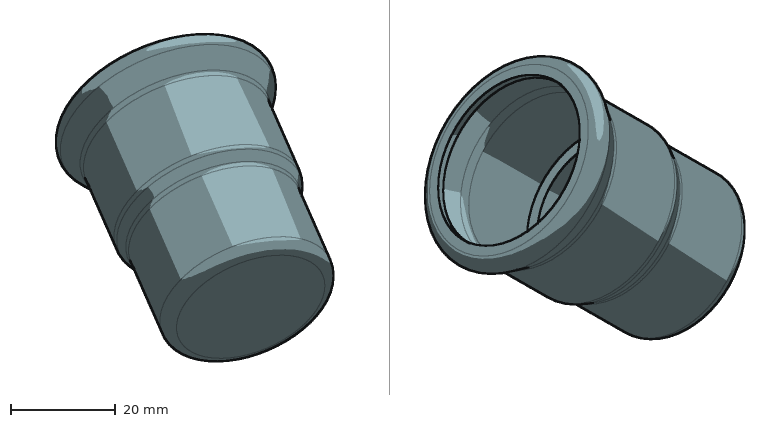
import cadquery as cq
import math

length = 51.0

bead_radius = 2.5
bead_outer_radius = 44.2 / 2
body_radius = 38.0 / 2
spigot_radius = 35.0 / 2
end_round = 2.5

wall = body_radius - spigot_radius

flare_angle = math.radians(30)
flare_blend = 2.25

shoulder_angle = math.radians(26)
shoulder_blend = 2.2
shoulder_start = 26.55

socket_radius = body_radius - wall
socket_depth = shoulder_start
bore_radius = spigot_radius - end_round
floor_thickness = wall

bead_centre_radius = bead_outer_radius - bead_radius
flare_rise = bead_centre_radius - body_radius
bead_mid_angle = (flare_angle - math.pi / 2) / 2


def arc_point(centre, radius, angle):
    """Point on an arc, with the angle measured from the outward radial direction towards +X."""
    return (centre[0] + radius * math.sin(angle), centre[1] + radius * math.cos(angle))


bead_centre = (bead_radius, bead_centre_radius)
flare_length = (
    flare_rise
    + bead_radius * math.cos(flare_angle)
    - flare_blend * (1 - math.cos(flare_angle))
) / math.sin(flare_angle)
body_start = (
    bead_radius
    + (bead_radius + flare_blend) * math.sin(flare_angle)
    + flare_length * math.cos(flare_angle)
)
flare_blend_centre = (body_start, body_radius + flare_blend)

shoulder_drop = body_radius - spigot_radius
shoulder_slope_length = (
    shoulder_drop - 2 * shoulder_blend * (1 - math.cos(shoulder_angle))
) / math.sin(shoulder_angle)
spigot_start = (
    shoulder_start
    + 2 * shoulder_blend * math.sin(shoulder_angle)
    + shoulder_slope_length * math.cos(shoulder_angle)
)
body_blend_centre = (shoulder_start, body_radius - shoulder_blend)
spigot_blend_centre = (spigot_start, spigot_radius + shoulder_blend)
end_round_centre = (length - end_round, spigot_radius - end_round)


def revolve_about_x(profile):
    return profile.close().revolve(360, (0, 0, 0), (1, 0, 0))


def outer_body():
    """Solid bounded by the bead, flare, body, shoulder and rounded spigot."""
    profile = (
        cq.Workplane("XY")
        .moveTo(0, 0)
        .lineTo(0, bead_centre_radius)
        .threePointArc(
            arc_point(bead_centre, bead_radius, bead_mid_angle),
            arc_point(bead_centre, bead_radius, flare_angle),
        )
        .lineTo(*arc_point(flare_blend_centre, -flare_blend, flare_angle))
        .threePointArc(
            arc_point(flare_blend_centre, -flare_blend, flare_angle / 2),
            (body_start, body_radius),
        )
        .lineTo(shoulder_start, body_radius)
        .threePointArc(
            arc_point(body_blend_centre, shoulder_blend, shoulder_angle / 2),
            arc_point(body_blend_centre, shoulder_blend, shoulder_angle),
        )
        .lineTo(*arc_point(spigot_blend_centre, -shoulder_blend, shoulder_angle))
        .threePointArc(
            arc_point(spigot_blend_centre, -shoulder_blend, shoulder_angle / 2),
            (spigot_start, spigot_radius),
        )
        .lineTo(length - end_round, spigot_radius)
        .threePointArc(
            arc_point(end_round_centre, end_round, math.pi / 4),
            (length, spigot_radius - end_round),
        )
        .lineTo(length, 0)
    )
    return revolve_about_x(profile)


def seal_groove_and_bore():
    """Cavity that follows the bead and flare at one wall thickness, then steps down to the blind bore."""
    groove_round = bead_radius - wall
    inner_blend = flare_blend + wall
    profile = (
        cq.Workplane("XY")
        .moveTo(0, 0)
        .lineTo(0, socket_radius)
        .lineTo(wall, socket_radius)
        .lineTo(wall, bead_centre_radius)
        .threePointArc(
            arc_point(bead_centre, groove_round, bead_mid_angle),
            arc_point(bead_centre, groove_round, flare_angle),
        )
        .lineTo(*arc_point(flare_blend_centre, -inner_blend, flare_angle))
        .threePointArc(
            arc_point(flare_blend_centre, -inner_blend, flare_angle / 2),
            (body_start, socket_radius),
        )
        .lineTo(socket_depth, socket_radius)
        .lineTo(socket_depth, bore_radius)
        .lineTo(length - floor_thickness, bore_radius)
        .lineTo(length - floor_thickness, 0)
    )
    return revolve_about_x(profile)


result = outer_body().cut(seal_groove_and_bore())